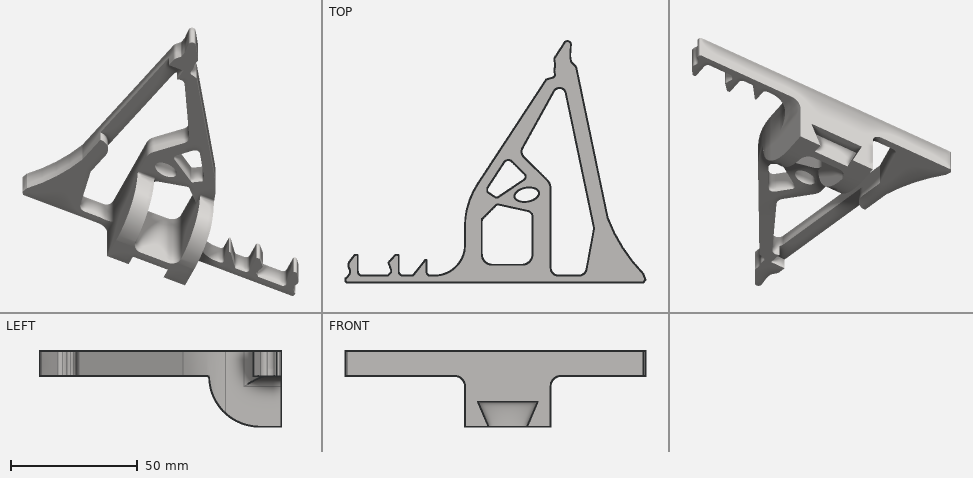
import cadquery as cq
import math

total_height = 30.0
plate_thickness = 10.0
plate_bottom = total_height - plate_thickness
base_length = 118.6
frame_height = 95.5
margin = 5.9

strip_width = 2.8
block_left = 47.2
block_right = 81.2
block_center = (block_left + block_right) / 2
block_fillet = 4.0
block_back_radius = plate_bottom
block_back_y = 28.6
block_back_fillet = 1.0

window_left = 54.0
window_right = 73.9
window_front = 7.1
window_corner_radius = 4.0
window_top_right = 27.9

dovetail_top_width = 23.7
dovetail_bottom_width = 15.2
dovetail_height = 10.0
dovetail_depth = 4.0

hook_height = 11.0
hook_tip_width = 1.3
hook_nose_radius = 0.6
hook_tip_radius = 0.5
hook_wall_1 = 5.0
hook_wall_2 = 21.1
hook_root_radius = 1.5
barb_wall = 32.2

foot_radius = 12.0
left_leg_bend_radius = 30.8
right_leg_flare_middle = (109.4, 14.1)
toe_setback = 1.0
toe_top = 3.6
toe_tip_height = 1.2

ellipse_center = (71.7, 34.8)
ellipse_major = 4.9
ellipse_minor = 2.7
ellipse_tilt = 10.0

leg_thickness = plate_thickness / 2
relief_start_y = 37.1
relief_radius = 5.0
slot_kink = (98.2, 21.5)
slot_apex = (85.7, 81.5)


def corner_tangents(before, corner, after, radius):
    """Start, middle and end of the arc that rounds a corner."""
    ux, uy = before[0] - corner[0], before[1] - corner[1]
    vx, vy = after[0] - corner[0], after[1] - corner[1]
    u_length, v_length = math.hypot(ux, uy), math.hypot(vx, vy)
    ux, uy, vx, vy = ux / u_length, uy / u_length, vx / v_length, vy / v_length
    half_angle = math.acos(ux * vx + uy * vy) / 2
    setback = radius / math.tan(half_angle)
    bisector = math.hypot(ux + vx, uy + vy)
    to_middle = radius / math.sin(half_angle) - radius
    start = (corner[0] + ux * setback, corner[1] + uy * setback)
    middle = (
        corner[0] + (ux + vx) / bisector * to_middle,
        corner[1] + (uy + vy) / bisector * to_middle,
    )
    end = (corner[0] + vx * setback, corner[1] + vy * setback)
    return start, middle, end


def rounded_path(corners, path=None):
    """Chain of lines through (x, y, radius) corners; both end corners stay sharp."""
    path = path or cq.Workplane("XY").moveTo(*corners[0][:2])
    for before, corner, after in zip(corners, corners[1:], corners[2:]):
        if corner[2] == 0:
            path = path.lineTo(*corner[:2])
        else:
            start, middle, end = corner_tangents(before, corner, after, corner[2])
            path = path.lineTo(*start).threePointArc(middle, end)
    return path.lineTo(*corners[-1][:2])


def rounded_polygon(corners):
    """Closed outline whose corners are all rounded by their own radius."""
    first, second = corners[0], corners[1]
    seam = ((first[0] + second[0]) / 2, (first[1] + second[1]) / 2, 0)
    return rounded_path([seam] + corners[1:] + [first, seam]).close()


def hook(wall, waist, bulge):
    """Corners of a slant-nosed hook, from its waist over the tip to its root."""
    return [
        waist,
        bulge,
        (wall - hook_tip_width, hook_height, hook_nose_radius),
        (wall, hook_height, hook_tip_radius),
        (wall, strip_width, hook_root_radius),
    ]


def frame_outline():
    """Outer edge of the A-shaped frame, clockwise from the toe at the right end."""
    corners = [
        (base_length - toe_setback, 0, 0),
        (0, 0, 0.8),
        (0, 1.8, 0),
        (0.4, 1.8, 0.2),
        *hook(hook_wall_1, waist=(2.3, 4.2, 2.4), bulge=(0.7, 7.1, 2.4)),
        (16.7, strip_width, 0),
        *hook(hook_wall_2, waist=(18.3, 4.3, 1.0), bulge=(17.0, 8.0, 0.4)),
        (26.7, strip_width, 1.0),
        (barb_wall, 9.7, 0.4),
        (barb_wall, strip_width, 1.2),
        (block_left, strip_width, foot_radius),
        (block_left, 31.3, left_leg_bend_radius),
        (79.4, 80.3, 0.7),
        (82.9, 81.4, 1.1),
        (82.5, 84.1, 2.8),
        (82.9, 85.8, 3.6),
        (82.5, 88.5, 0.2),
        (89.6, 99.5, 1.4),
        (88.9, 89.7, 2.4),
        (89.2, 87.3, 0.7),
        (91.2, 85.2, 2.4),
        (103.7, 25.5, 0),
    ]
    return (
        rounded_path(corners)
        .threePointArc(right_leg_flare_middle, (base_length - toe_setback, toe_top))
        .lineTo(base_length, toe_tip_height)
        .close()
    )


def square_window():
    """Four-sided opening above the block, with a slanted upper left corner."""
    return rounded_polygon([
        (window_left, window_front, window_corner_radius),
        (window_right, window_front, window_corner_radius),
        (window_right, window_top_right, 2.4),
        (59.9, 31.0, 1.2),
        (window_left, 25.0, 1.0),
    ])


def triangular_window():
    """Small opening in the left leg, three-sided with a blunted corner."""
    return rounded_polygon([
        (56.1, 35.8, 0.5),
        (59.8, 33.5, 1.0),
        (72.0, 41.6, 1.4),
        (64.1, 49.6, 2.0),
        (56.1, 37.4, 1.0),
    ])


def leg_slot():
    """Long opening between the block and the right leg, narrowing to the peak."""
    return rounded_polygon([
        (block_right, strip_width, 3.0),
        (94.8, strip_width, 3.0),
        (*slot_kink, 0.2),
        (*slot_apex, 2.5),
        (68.9, 51.3, 3.0),
        (block_right, 39.2, 4.7),
    ])


def elliptical_window():
    """Tilted ellipse beside the triangular window."""
    return (
        cq.Workplane("XY")
        .center(*ellipse_center)
        .ellipse(ellipse_major, ellipse_minor, rotation_angle=ellipse_tilt)
    )


def front_profile():
    """Plate with the block below it, filleted where they meet."""
    corners = [
        (-margin, total_height, 0),
        (-margin, plate_bottom, 0),
        (block_left, plate_bottom, block_fillet),
        (block_left, 0, 0),
        (block_right, 0, 0),
        (block_right, plate_bottom, block_fillet),
        (base_length + margin, plate_bottom, 0),
        (base_length + margin, total_height, 0),
    ]
    profile = rounded_path(corners, cq.Workplane("XZ").moveTo(*corners[0][:2]))
    return profile.close().extrude(-frame_height - margin)


def side_profile():
    """Plate with the block below it, its back swept up in a quarter circle."""
    arc_center_y = block_back_y - block_back_radius
    inner_edge = cq.selectors.NearestToPointSelector((base_length / 2, block_back_y, plate_bottom))
    diagonal = block_back_radius * math.sqrt(0.5)
    return (
        cq.Workplane("YZ")
        .moveTo(0, 0)
        .lineTo(arc_center_y, 0)
        .threePointArc(
            (arc_center_y + diagonal, block_back_radius - diagonal),
            (block_back_y, plate_bottom),
        )
        .lineTo(frame_height + margin, plate_bottom)
        .lineTo(frame_height + margin, total_height)
        .lineTo(0, total_height)
        .close()
        .extrude(base_length)
        .edges(inner_edge)
        .fillet(block_back_fillet)
    )


def block_back_opening():
    """Below the plate the window runs out through the back of the block."""
    opening_front = window_front + window_corner_radius
    return (
        cq.Workplane("XY")
        .moveTo(window_left, opening_front)
        .lineTo(window_right, opening_front)
        .lineTo(window_right, frame_height)
        .lineTo(window_left, frame_height)
        .close()
        .extrude(plate_bottom)
    )


def dovetail_notch():
    """Notch in the lower front of the block, wider at its top."""
    return (
        cq.Workplane("XZ")
        .polyline([
            (block_center - dovetail_bottom_width / 2, 0),
            (block_center + dovetail_bottom_width / 2, 0),
            (block_center + dovetail_top_width / 2, dovetail_height),
            (block_center - dovetail_top_width / 2, dovetail_height),
        ])
        .close()
        .extrude(-dovetail_depth)
    )


def leg_relief():
    """Space below the thin right leg, with a rounded corner at its lower end."""
    wall_slope = (slot_apex[0] - slot_kink[0]) / (slot_apex[1] - slot_kink[1])

    def wall_x(y):
        return slot_kink[0] + wall_slope * (y - slot_kink[1])

    entry_y = slot_kink[1] + margin
    outside_x = base_length
    corners = [
        (wall_x(entry_y) - margin, entry_y, 0),
        (wall_x(entry_y), entry_y, 0),
        (wall_x(relief_start_y), relief_start_y, relief_radius),
        (outside_x, relief_start_y, 0),
        (outside_x, slot_apex[1], 0),
        (*slot_apex, 0),
    ]
    relief = rounded_path(corners).close().extrude(plate_thickness - leg_thickness)
    return relief.translate((0, 0, plate_bottom))


result = frame_outline().extrude(total_height)
for window in (square_window(), triangular_window(), leg_slot(), elliptical_window()):
    result = result.cut(window.extrude(total_height))
result = result.intersect(front_profile()).intersect(side_profile())
result = result.cut(block_back_opening()).cut(dovetail_notch()).cut(leg_relief())